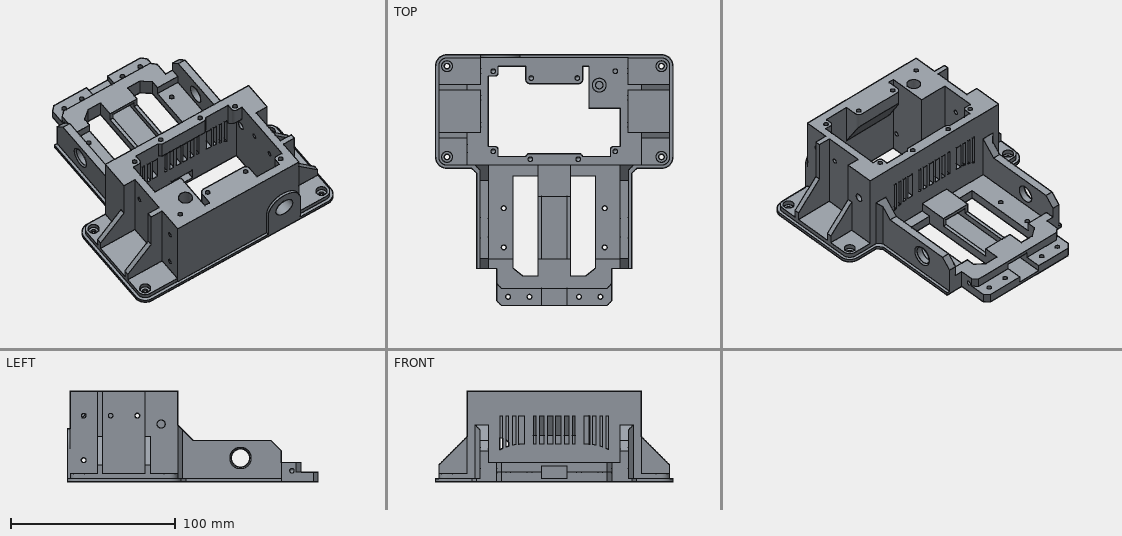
import cadquery as cq
import math

PLATE_X, PLATE_Y = 144.0, 69.0
LIP = 2.0
TIER_TOP = 5.0
TIER_X, TIER_Y = PLATE_X - 2 * LIP, PLATE_Y - 2 * LIP
PLATE_RADIUS = 7.0
TIER_RADIUS = PLATE_RADIUS - LIP
MOUNT_X, MOUNT_Y = PLATE_X / 2 - PLATE_RADIUS, PLATE_Y / 2 - PLATE_RADIUS
MOUNT_DIA, MOUNT_BORE_DIA = 3.2, 6.6

BOX_TOP = 55.0
BOX_FRONT, BOX_REAR = -TIER_Y / 2, 32.8
BOX_MID_Y = (BOX_FRONT + BOX_REAR) / 2
BOX_HALF_X = 44.7
SHOULDER_HALF_X = 52.8
RIB_INNER, RIB_THICK = 12.9, 3.2
RIB_TOE_TOP = 10.3
POCKET_HALF_X, POCKET_HALF_Y = 40.0, 27.3
POCKET_FRONT, POCKET_REAR = BOX_MID_Y - POCKET_HALF_Y, BOX_MID_Y + POCKET_HALF_Y

SCREW_DIA, SCREW_DEPTH = 2.8, 10.0
POST_SIZE, POST_DEPTH = 6.0, 12.0
POST_OFFSET = POST_SIZE / 2
POST_RADIUS = 2.0
REAR_LUG_HALF_X, REAR_LUG_LENGTH, REAR_LUG_RADIUS = 17.4, 10.7, 3.0
REAR_LUG_DEPTH, REAR_LUG_ROOT_DEPTH = 9.0, 26.7
REAR_LUG_SCREW_X, REAR_LUG_SCREW_Y = 14.0, 20.3
FRONT_LUG_HALF_X, FRONT_LUG_LENGTH = 17.5, 1.6
FRONT_LUG_SCREW_X, FRONT_LUG_SCREW_Y = 14.5, -28.9
TOWER_LEFT, TOWER_FRONT = 21.0, 1.9
POLE_X, POLE_Y = 27.3, 16.0
POLE_BORE_DIA, POLE_BORE_DEPTH = 8.4, 20.0
POLE_DIA, POLE_DEPTH = 4.5, 30.0

SIDE_HOLE_DIA = 2.8
SIDE_HOLE_Z = 40.2
SIDE_HOLE_OFFSETS = (-8.1, 8.1, 24.4)
CROSS_HOLE_Z = 13.2
CABLE_HOLE_DIA, CABLE_HOLE_Y, CABLE_HOLE_Z = 5.0, -22.4, 35.1

CENTRE_SLOTS = ((2.4, 3.2), (7.5, 2.7), (11.8, 1.6))
OUTER_SLOTS = ((19.85, 3.7), (24.35, 2.1), (28.4, 1.6), (32.15, 1.7))
VENT_TOP, VENT_BOTTOM, VENT_OUTER_BOTTOM = 40.1, 22.9, 18.0
VENT_FLAT_HALF_X, VENT_BEND_RADIUS = 20.0, 27.0

BOSS_RADIUS = 11.9
BOSS_X, BOSS_Z = BOSS_RADIUS - BOX_HALF_X, 20.4
BOSS_REAR = PLATE_Y / 2
BOSS_HOLE_DIA = 12.4

CRADLE_END = -95.25
PART_LENGTH = 152.13
PART_FRONT = PLATE_Y / 2 - PART_LENGTH
ARM_INNER, ARM_OUTER = 40.0, 45.0
ARM_TOP, ARM_ROOT_TOP = 25.2, 34.6
ARM_END_CHAMFER = 6.3
GUSSET = 3.0
DECK_TOP = 6.0
AXLE_Y, AXLE_Z, AXLE_DIA = -70.5, 14.5, 11.0
AXLE_CHAMFER = 1.0
WINDOW_INNER, WINDOW_OUTER = 10.0, 25.0
WINDOW_REAR, WINDOW_FRONT = -39.1, -99.6
WINDOW_CORNER_X, WINDOW_CORNER_Y = 5.9, 4.7
DECK_HOLE_DIA, DECK_HOLE_X = 2.8, 30.6
DECK_HOLE_YS = (-58.6, -82.4)
BAR_TOP, BAR_REAR, BAR_FRONT, BAR_HALF_X = 11.9, -89.4, -107.2, 35.0
BAR_CHAMFER = 3.0
BAR_HOLE_Y, BAR_HOLE_Z = -101.7, 6.8
FLANGE_HOLE_XS, FLANGE_HOLE_Y = (15.0, 28.0), -112.3
BLOCK_FRONT = -51.5
DUCT_HALF_X, DUCT_BOTTOM, DUCT_TOP = 7.75, 2.0, 9.6


def box(x0, x1, y0, y1, z0, z1):
    return cq.Workplane("XY").box(x1 - x0, y1 - y0, z1 - z0, centered=False).translate((x0, y0, z0))


def both_sides(shape):
    return shape.union(shape.mirror("YZ"))


def prism_z(points, z0, z1):
    return cq.Workplane("XY").workplane(offset=z0).polyline(points).close().extrude(z1 - z0)


def prism_x(points, x0, x1):
    return cq.Workplane("YZ").workplane(offset=x0).polyline(points).close().extrude(x1 - x0)


def prism_y(points, y0, y1):
    return cq.Workplane("XZ").workplane(offset=-y1).polyline(points).close().extrude(y1 - y0)


def rod_x(y, z, dia, x0, x1):
    return cq.Workplane("YZ").workplane(offset=x0).center(y, z).circle(dia / 2).extrude(x1 - x0)


def rod_z(x, y, dia, z0, z1):
    return cq.Workplane("XY").workplane(offset=z0).center(x, y).circle(dia / 2).extrude(z1 - z0)


def drill(start, direction, dia, depth):
    """Blind drilled hole with a conical end."""
    radius = dia / 2
    start, direction = cq.Vector(*start), cq.Vector(*direction)
    bore = cq.Solid.makeCylinder(radius, depth, start, direction)
    tip = cq.Solid.makeCone(radius, 0, radius, start + direction * depth, direction)
    return cq.Workplane(bore.fuse(tip))


def base():
    lip = box(-PLATE_X / 2, PLATE_X / 2, -PLATE_Y / 2, PLATE_Y / 2, 0, LIP).edges("|Z").fillet(PLATE_RADIUS)
    tier = box(-TIER_X / 2, TIER_X / 2, -TIER_Y / 2, TIER_Y / 2, 0, TIER_TOP)
    return lip.union(tier.edges("|Z").fillet(TIER_RADIUS))


def box_body():
    core = box(-BOX_HALF_X, BOX_HALF_X, BOX_FRONT, BOX_REAR, 0, BOX_TOP)
    shoulders = box(-SHOULDER_HALF_X, SHOULDER_HALF_X, BOX_FRONT, BOX_MID_Y - RIB_INNER, 0, BOX_TOP)
    return core.union(shoulders)


def side_ribs():
    toe = TIER_X / 2
    slope_top = RIB_TOE_TOP + toe - SHOULDER_HALF_X
    slope = [
        (BOX_HALF_X, 0),
        (toe, 0),
        (toe, RIB_TOE_TOP),
        (SHOULDER_HALF_X, slope_top),
        (BOX_HALF_X, slope_top),
    ]
    rear_y = BOX_MID_Y + RIB_INNER
    front_y = BOX_MID_Y - RIB_INNER
    ribs = prism_y(slope, rear_y, rear_y + RIB_THICK)
    ribs = ribs.union(prism_y(slope, front_y - RIB_THICK, front_y))
    ribs = ribs.union(box(BOX_HALF_X, SHOULDER_HALF_X, rear_y, rear_y + RIB_THICK, 0, BOX_TOP))
    return both_sides(ribs)


def corner_post(side, end):
    """Screw post in a pocket corner; its underside tapers at 45 degrees into the end wall."""
    wall_y = POCKET_REAR if end > 0 else POCKET_FRONT
    free_y = wall_y - end * POST_SIZE
    low = BOX_TOP - POST_DEPTH
    profile = [(wall_y, BOX_TOP), (free_y, BOX_TOP), (free_y, low), (wall_y, low - POST_SIZE)]
    free_x = side * (POCKET_HALF_X - POST_SIZE)
    x0, x1 = sorted((side * POCKET_HALF_X, free_x))
    inner_edge = cq.selectors.NearestToPointSelector((free_x, free_y, low + POST_DEPTH / 2))
    return prism_x(profile, x0, x1).edges(inner_edge).fillet(POST_RADIUS)


def rear_lug():
    free_y = POCKET_REAR - REAR_LUG_LENGTH
    profile = [
        (POCKET_REAR, BOX_TOP),
        (free_y, BOX_TOP),
        (free_y, BOX_TOP - REAR_LUG_DEPTH),
        (POCKET_REAR, BOX_TOP - REAR_LUG_ROOT_DEPTH),
    ]
    lug = prism_x(profile, -REAR_LUG_HALF_X, REAR_LUG_HALF_X)
    return lug.edges("|Z").edges("<Y").fillet(REAR_LUG_RADIUS)


def front_lug():
    free_y = POCKET_FRONT + FRONT_LUG_LENGTH
    free_x = FRONT_LUG_HALF_X - FRONT_LUG_LENGTH
    outline = [
        (-FRONT_LUG_HALF_X, POCKET_FRONT),
        (FRONT_LUG_HALF_X, POCKET_FRONT),
        (free_x, free_y),
        (-free_x, free_y),
    ]
    return prism_z(outline, BOX_TOP - POST_DEPTH, BOX_TOP)


def pocket():
    space = box(-POCKET_HALF_X, POCKET_HALF_X, POCKET_FRONT, POCKET_REAR, 0, BOX_TOP)
    space = space.cut(box(TOWER_LEFT, POCKET_HALF_X, TOWER_FRONT, POCKET_REAR, 0, BOX_TOP))
    for side, end in ((-1, 1), (-1, -1), (1, -1)):
        space = space.cut(corner_post(side, end))
    return space.cut(rear_lug()).cut(front_lug())


def cover_screw_holes():
    post_x = POCKET_HALF_X - POST_OFFSET
    post_ys = (POCKET_FRONT + POST_OFFSET, POCKET_REAR - POST_OFFSET)
    places = [(-post_x, post_ys[0]), (post_x, post_ys[0]), (-post_x, post_ys[1])]
    for side in (-1, 1):
        places.append((side * REAR_LUG_SCREW_X, REAR_LUG_SCREW_Y))
        places.append((side * FRONT_LUG_SCREW_X, FRONT_LUG_SCREW_Y))
    holes = rod_z(post_x, post_ys[1], SCREW_DIA, BOX_TOP - SCREW_DEPTH, BOX_TOP)
    for x, y in places:
        holes = holes.union(drill((x, y, BOX_TOP), (0, 0, -1), SCREW_DIA, SCREW_DEPTH))
    return holes


def pole_hole():
    bore = rod_z(POLE_X, POLE_Y, POLE_BORE_DIA, BOX_TOP - POLE_BORE_DEPTH, BOX_TOP)
    return bore.union(rod_z(POLE_X, POLE_Y, POLE_DIA, BOX_TOP - POLE_DEPTH, BOX_TOP))


def side_wall_holes():
    cross_y = BOX_MID_Y + SIDE_HOLE_OFFSETS[-1]
    holes = rod_x(cross_y, CROSS_HOLE_Z, SIDE_HOLE_DIA, -BOX_HALF_X, BOX_HALF_X)
    for offset in SIDE_HOLE_OFFSETS:
        hole = rod_x(BOX_MID_Y + offset, SIDE_HOLE_Z, SIDE_HOLE_DIA, POCKET_HALF_X, BOX_HALF_X)
        holes = holes.union(both_sides(hole))
    cable = rod_x(CABLE_HOLE_Y, CABLE_HOLE_Z, CABLE_HOLE_DIA, -SHOULDER_HALF_X, -POCKET_HALF_X)
    return holes.union(cable)


def vents():
    """Upright slots under a level top; towards the sides their lower ends bend downwards."""
    bend_z = VENT_BOTTOM - VENT_BEND_RADIUS
    bend_angle = math.acos((VENT_OUTER_BOTTOM - bend_z) / VENT_BEND_RADIUS)
    reach = VENT_FLAT_HALF_X + VENT_BEND_RADIUS * math.sin(bend_angle)
    middle = VENT_FLAT_HALF_X + VENT_BEND_RADIUS * math.sin(bend_angle / 2)
    middle_z = bend_z + VENT_BEND_RADIUS * math.cos(bend_angle / 2)
    field = (
        cq.Workplane("XZ")
        .workplane(offset=-POCKET_FRONT)
        .moveTo(0, VENT_TOP)
        .lineTo(reach, VENT_TOP)
        .lineTo(reach, VENT_OUTER_BOTTOM)
        .threePointArc((middle, middle_z), (VENT_FLAT_HALF_X, VENT_BOTTOM))
        .lineTo(0, VENT_BOTTOM)
        .close()
        .extrude(POCKET_FRONT - BOX_FRONT)
    )
    slots = cq.Workplane("XY")
    for x, width in CENTRE_SLOTS + OUTER_SLOTS:
        slots = slots.union(box(x - width / 2, x + width / 2, BOX_FRONT, POCKET_FRONT, 0, VENT_TOP))
    return both_sides(field.intersect(slots))


def cable_boss():
    outline = cq.Workplane("XZ").workplane(offset=-BOSS_REAR).center(BOSS_X, BOSS_Z)
    round_top = outline.circle(BOSS_RADIUS).extrude(BOSS_REAR - POCKET_REAR)
    return round_top.union(
        box(BOSS_X - BOSS_RADIUS, BOSS_X + BOSS_RADIUS, POCKET_REAR, BOSS_REAR, 0, BOSS_Z)
    )


def cable_boss_hole():
    outline = cq.Workplane("XZ").workplane(offset=-BOSS_REAR).center(BOSS_X, BOSS_Z)
    return outline.circle(BOSS_HOLE_DIA / 2).extrude(BOSS_REAR - POCKET_REAR)


def cradle_lip():
    edge, start = ARM_OUTER + LIP, BOX_FRONT - LIP
    half = [
        (0, BOX_FRONT),
        (edge + GUSSET, BOX_FRONT),
        (edge + GUSSET, start),
        (edge, start - GUSSET),
        (edge, CRADLE_END),
        (0, CRADLE_END),
    ]
    return both_sides(prism_z(half, 0, LIP))


def arms():
    slope_end = BOX_FRONT - (ARM_ROOT_TOP - ARM_TOP)
    side = [
        (BOX_FRONT, 0),
        (BOX_FRONT, ARM_ROOT_TOP),
        (slope_end, ARM_TOP),
        (CRADLE_END + ARM_END_CHAMFER, ARM_TOP),
        (CRADLE_END, ARM_TOP - ARM_END_CHAMFER),
        (CRADLE_END, 0),
    ]
    plan = [
        (ARM_INNER, BOX_FRONT),
        (ARM_OUTER + GUSSET, BOX_FRONT),
        (ARM_OUTER, BOX_FRONT - GUSSET),
        (ARM_OUTER, CRADLE_END),
        (ARM_INNER, CRADLE_END),
    ]
    arm = prism_x(side, ARM_INNER, ARM_OUTER + GUSSET).intersect(prism_z(plan, 0, ARM_ROOT_TOP))
    arm = arm.cut(rod_x(AXLE_Y, AXLE_Z, AXLE_DIA, ARM_INNER, ARM_OUTER))
    radius = AXLE_DIA / 2
    inset = cq.Vector(ARM_OUTER - AXLE_CHAMFER, AXLE_Y, AXLE_Z)
    outward = cq.Vector(1, 0, 0)
    countersink = cq.Solid.makeCone(radius, radius + AXLE_CHAMFER, AXLE_CHAMFER, inset, outward)
    arm = arm.cut(cq.Workplane(countersink))
    return both_sides(arm)


def deck_and_bar():
    deck = box(-ARM_INNER, ARM_INNER, CRADLE_END, BOX_FRONT, 0, DECK_TOP)
    flange = box(-BAR_HALF_X, BAR_HALF_X, PART_FRONT, BAR_REAR, 0, DECK_TOP)
    flange = flange.edges("|Z").edges("<Y").chamfer(BAR_CHAMFER)
    bar = box(-BAR_HALF_X, BAR_HALF_X, BAR_FRONT, BAR_REAR, 0, BAR_TOP)
    bar = bar.edges("|Z").edges("<Y").chamfer(BAR_CHAMFER)
    bar_ends = box(-ARM_INNER, ARM_INNER, CRADLE_END, BAR_REAR, 0, BAR_TOP)
    block = box(-WINDOW_INNER, WINDOW_INNER, BLOCK_FRONT, BOX_FRONT, 0, BAR_TOP)
    return deck.union(flange).union(bar).union(bar_ends).union(block)


def deck_windows():
    outline = [
        (WINDOW_INNER, WINDOW_REAR),
        (WINDOW_OUTER, WINDOW_REAR),
        (WINDOW_OUTER, WINDOW_FRONT + WINDOW_CORNER_Y),
        (WINDOW_OUTER - WINDOW_CORNER_X, WINDOW_FRONT),
        (WINDOW_INNER, WINDOW_FRONT),
    ]
    return both_sides(prism_z(outline, 0, BAR_TOP))


def cable_duct():
    """Channel along the middle, from the end flange through bar and block into the box."""
    return box(-DUCT_HALF_X, DUCT_HALF_X, PART_FRONT, POCKET_FRONT, DUCT_BOTTOM, DUCT_TOP)


def cradle_holes():
    holes = drill((BAR_HALF_X, BAR_HOLE_Y, BAR_HOLE_Z), (-1, 0, 0), SCREW_DIA, SCREW_DEPTH)
    for y in DECK_HOLE_YS:
        holes = holes.union(rod_z(DECK_HOLE_X, y, DECK_HOLE_DIA, 0, DECK_TOP))
    for x in FLANGE_HOLE_XS:
        holes = holes.union(rod_z(x, FLANGE_HOLE_Y, DECK_HOLE_DIA, 0, DECK_TOP))
    return both_sides(holes)


def mounting_holes():
    holes = cq.Workplane("XY")
    for x in (-MOUNT_X, MOUNT_X):
        for y in (-MOUNT_Y, MOUNT_Y):
            holes = holes.union(rod_z(x, y, MOUNT_DIA, 0, TIER_TOP))
            holes = holes.union(rod_z(x, y, MOUNT_BORE_DIA, LIP, TIER_TOP))
    return holes


solid = base().union(box_body()).union(side_ribs()).union(cable_boss())
solid = solid.union(cradle_lip()).union(arms()).union(deck_and_bar())
solid = solid.cut(pocket()).cut(vents()).cut(cable_boss_hole())
solid = solid.cut(deck_windows()).cut(cable_duct())
solid = solid.cut(cover_screw_holes()).cut(pole_hole()).cut(side_wall_holes())
result = solid.cut(cradle_holes()).cut(mounting_holes())